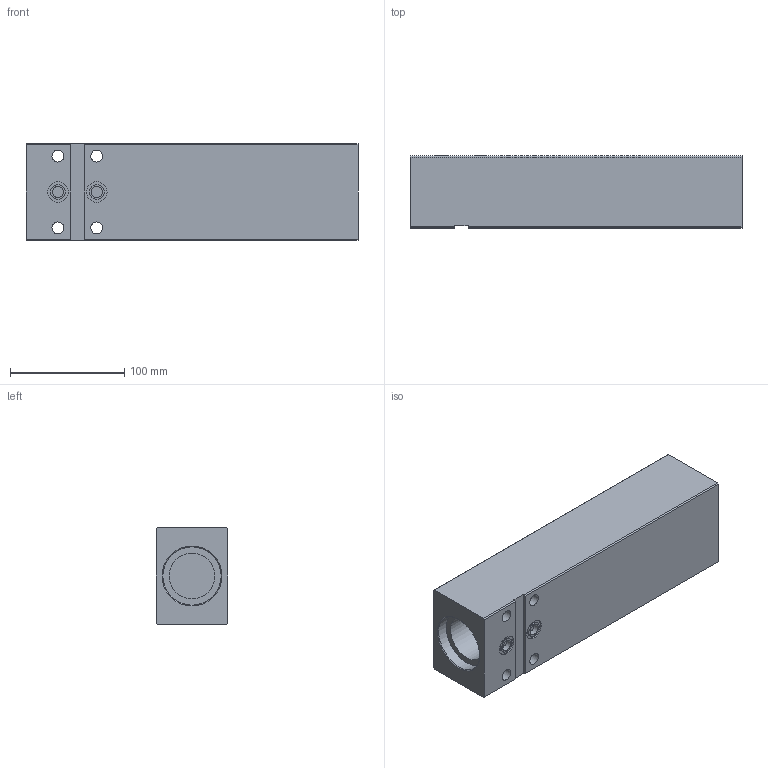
import cadquery as cq

LENGTH = 291.0
WIDTH = 63.0
HEIGHT = 85.0
EDGE_CHAMFER = 1.0

BORE_DIAMETER = 40.0
BORE_DEPTH = 260.0
COUNTERBORE_DIAMETER = 51.0
COUNTERBORE_DEPTH = 10.0
MOUTH_CHAMFER = 0.75

SLOT_CENTRE_X = 45.0
SLOT_WIDTH = 12.0
SLOT_DEPTH = 2.0

HOLE_DIAMETER = 10.5
HOLE_PITCH_X = 34.0
HOLE_PITCH_Z = 63.0

SEAL_OUTER_DIAMETER = 18.0
SEAL_INNER_DIAMETER = 13.0
SEAL_DEPTH = 1.4
PORT_DIAMETER = 10.0
PORT_DEPTH = 5.0

FRONT_Y = -WIDTH / 2
COLUMNS_X = [SLOT_CENTRE_X + side * HOLE_PITCH_X / 2 for side in (-1, 1)]


def rod(diameter, start, length, direction):
    """Cylinder from a start point along a direction."""
    return cq.Workplane(cq.Solid.makeCylinder(diameter / 2, length, cq.Vector(*start), cq.Vector(*direction)))


def mouth(diameter, size, start, direction):
    """Conical cutter that chamfers the mouth of a round hole by the given size."""
    radius = diameter / 2
    return cq.Workplane(
        cq.Solid.makeCone(radius + size, radius, size, cq.Vector(*start), cq.Vector(*direction))
    )


def make_block():
    block = cq.Workplane("XY").box(LENGTH, WIDTH, HEIGHT, centered=(False, True, True))
    return block.edges("|X").chamfer(EDGE_CHAMFER)


def cut_bore(body):
    inward = (1, 0, 0)
    entry = (0, 0, 0)
    body = body.cut(rod(BORE_DIAMETER, entry, BORE_DEPTH, inward))
    body = body.cut(rod(COUNTERBORE_DIAMETER, entry, COUNTERBORE_DEPTH, inward))
    return body.cut(mouth(COUNTERBORE_DIAMETER, MOUTH_CHAMFER, entry, inward))


def cut_slot(body):
    slot = cq.Workplane("XY").box(SLOT_WIDTH, 2 * SLOT_DEPTH, HEIGHT)
    return body.cut(slot.translate((SLOT_CENTRE_X, FRONT_Y, 0)))


def cut_mounting_holes(body):
    for x in COLUMNS_X:
        for side in (-1, 1):
            start = (x, FRONT_Y, side * HOLE_PITCH_Z / 2)
            body = body.cut(rod(HOLE_DIAMETER, start, WIDTH, (0, 1, 0)))
    return body


def cut_port(body, x):
    inward = (0, 1, 0)
    entry = (x, FRONT_Y, 0)
    groove = rod(SEAL_OUTER_DIAMETER, entry, SEAL_DEPTH, inward)
    groove = groove.cut(rod(SEAL_INNER_DIAMETER, entry, SEAL_DEPTH, inward))
    return body.cut(groove).cut(rod(PORT_DIAMETER, entry, PORT_DEPTH, inward))


result = make_block()
result = cut_bore(result)
result = cut_slot(result)
result = cut_mounting_holes(result)
for port_x in COLUMNS_X:
    result = cut_port(result, port_x)